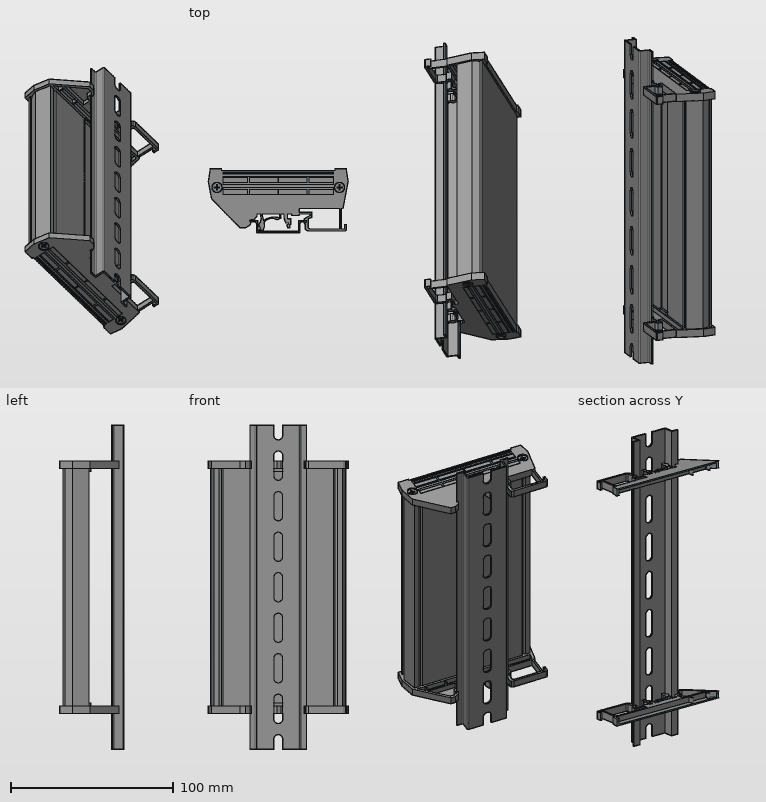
import cadquery as cq

rail_length = 200.0
rail_width = 35.0
rail_channel_width = 27.0
rail_height = 7.5
rail_wall = 1.0
rail_bend = 0.8
rail_slot_width = 5.5
rail_slot_length = 18.0
rail_slot_pitch = 25.0
flange_half = rail_width / 2
flange_under_y = rail_height - rail_wall

plate_outer_z = 78.0
plate_thickness = 4.8
plate_inner_z = plate_outer_z - plate_thickness

base_bottom_y = 21.5
base_wide_y = 31.5
base_top_y = 36.5
base_bottom_half = 39.5
base_wide_half = 41.8
base_top_half = 39.5
vee_outer_x = 36.5
vee_root_x = 35.0
vee_inner_x = 34.2
vee_depth = 0.8
key_half = 5.8
keyway_depth = 0.5

cover_half = 40.5
cover_thickness = 1.2
cover_top_y = base_top_y + cover_thickness

plate_top_y = 39.5
plate_saddle_y = 38.5
ear_inner_x = 35.0
plate_wide_half = 43.2
plate_top_half = 42.0
plate_belly_y = 11.5
plate_step_y = 15.0
foot_bottom_y = 3.0
spring_bottom_y = 1.0
spring_floor_y = 2.5
arm_top_y = 12.8
strut_left_x = 37.8
strut_right_x = 39.0
floor_thickness = 1.2
key_height = 1.8
key_bottom_y = 20.5
rib_thickness = 0.8
rib_lefts = (-33.2, -19.8)

panel_half = 34.0
panel_bottom_y = 23.8
panel_top_y = cover_top_y
panel_depth = 0.1
cell_depth = 0.1
cell_rows = [(panel_bottom_y, 26.5), (31.0, 34.0)]
ridge_bands = [(28.0, 29.8), (34.8, 36.2), (36.8, 37.2)]
bar_width = 1.2
bar_center_width = 0.5
bar_x = 18.5

screw_x = 37.8
screw_y = 28.0
screw_head_radius = 3.0
screw_head_depth = 2.0
screw_recess = 0.8
counterbore_radius = 3.2
screw_shank_radius = 1.5
screw_length = 10.0
cross_length = 3.5
cross_width = 0.8
cross_depth = 1.0


def mirrored_outline(right_half):
    """Closed outline from its right half, listed from the bottom centre to the top centre."""
    left_half = [(-x, y) for x, y in reversed(right_half)]
    return right_half + left_half


def block(x0, x1, y0, y1, z0, z1):
    return cq.Workplane("XY").box(x1 - x0, y1 - y0, z1 - z0, centered=False).translate((x0, y0, z0))


def prism(points, z0, z1):
    return cq.Workplane("XY").workplane(offset=z0).polyline(points).close().extrude(z1 - z0)


def make_rail():
    channel_half = rail_channel_width / 2
    right_half = [
        (channel_half, 0),
        (channel_half, flange_under_y),
        (flange_half, flange_under_y),
        (flange_half, rail_height),
        (channel_half - rail_wall, rail_height),
        (channel_half - rail_wall, rail_wall),
    ]
    end_z = rail_length / 2
    rail = prism(mirrored_outline(right_half), -end_z, end_z)
    for side in (-1, 1):
        for bend_y in (0, flange_under_y):
            corner = (side * channel_half, bend_y, 0)
            rail = rail.edges(cq.selectors.NearestToPointSelector(corner)).fillet(rail_bend)
    slot_count = int(rail_length / rail_slot_pitch) + 1
    slots = (
        cq.Workplane("XZ")
        .rarray(2, rail_slot_pitch, 1, slot_count)
        .slot2D(rail_slot_length, rail_slot_width, 90)
        .extrude(-rail_wall)
    )
    return rail.cut(slots)


def make_base():
    keyway_y = base_bottom_y + keyway_depth
    right_half = [
        (key_half, keyway_y),
        (key_half, base_bottom_y),
        (vee_inner_x, base_bottom_y),
        (vee_root_x, base_bottom_y + vee_depth),
        (vee_outer_x, base_bottom_y),
        (base_bottom_half, base_bottom_y),
        (base_wide_half, base_wide_y),
        (base_top_half, base_top_y),
    ]
    return prism(mirrored_outline(right_half), -plate_inner_z, plate_inner_z)


def make_cover():
    return block(-cover_half, cover_half, base_top_y, cover_top_y, -plate_inner_z, plate_inner_z)


def plate_body():
    """Main plate with the rail foot on the left and the spring arm and its strut on the right."""
    outline = [
        (-plate_top_half, plate_top_y),
        (-plate_wide_half, base_wide_y),
        (-41.2, 21.0),
        (-23.5, foot_bottom_y),
        (-20.2, foot_bottom_y),
        (-17.5, 4.8),
        (-16.5, flange_under_y),
        (-flange_half, flange_under_y),
        (-flange_half, 7.8),
        (-14.8, 8.2),
        (-13.0, 10.5),
        (-13.0, plate_belly_y),
        (8.2, plate_belly_y),
        (8.2, 10.5),
        (12.8, 10.5),
        (13.2, plate_belly_y),
        (19.5, plate_belly_y),
        (19.5, 10.8),
        (16.0, 8.5),
        (16.0, rail_height),
        (flange_half, rail_height),
        (flange_half, flange_under_y),
        (16.0, 6.0),
        (16.5, 5.0),
        (16.5, spring_floor_y),
        (17.2, 1.5),
        (18.8, spring_bottom_y),
        (40.5, spring_bottom_y),
        (41.5, 1.2),
        (42.0, 1.8),
        (42.0, 5.2),
        (40.8, 5.2),
        (40.8, spring_floor_y),
        (strut_right_x, spring_floor_y),
        (strut_right_x, plate_step_y),
        (40.0, plate_step_y),
        (plate_wide_half, base_wide_y),
        (plate_top_half, plate_top_y),
        (ear_inner_x, plate_top_y),
        (ear_inner_x, plate_saddle_y),
        (-ear_inner_x, plate_saddle_y),
        (-ear_inner_x, plate_top_y),
    ]
    opening = [
        (13.0, plate_step_y),
        (13.0, arm_top_y),
        (20.8, arm_top_y),
        (20.8, 9.5),
        (18.5, 8.5),
        (18.5, 3.2),
        (19.5, spring_floor_y),
        (strut_left_x, spring_floor_y),
        (strut_left_x, plate_step_y),
    ]
    body = prism(outline, plate_inner_z, plate_outer_z)
    return body.cut(prism(opening, plate_inner_z, plate_outer_z))


def spring_clip():
    """Left finger, arched spring with its post, and right finger, all inside the rail channel."""
    left_finger = [
        (-11.0, plate_belly_y),
        (-10.0, plate_belly_y),
        (-9.0, 7.8),
        (-8.5, 5.0),
        (-8.5, 4.0),
        (-9.2, 1.5),
        (-11.8, 1.5),
        (-11.0, 2.8),
        (-12.2, 4.8),
        (-11.2, 6.5),
        (-10.5, 8.5),
    ]
    right_finger = [
        (3.5, plate_belly_y),
        (3.5, 9.5),
        (4.5, 6.0),
        (6.2, 6.0),
        (6.2, 5.5),
        (5.2, 4.8),
        (5.8, 3.0),
        (7.2, 3.0),
        (7.2, 5.0),
        (7.8, 5.0),
        (7.8, 8.8),
        (5.8, 8.8),
        (5.8, plate_belly_y),
    ]
    arch = (
        cq.Workplane("XY")
        .workplane(offset=plate_inner_z)
        .moveTo(-9.2, 7.5)
        .threePointArc((-3.0, 9.8), (0.8, 9.5))
        .lineTo(0.8, plate_belly_y)
        .lineTo(1.8, plate_belly_y)
        .lineTo(1.8, 9.0)
        .lineTo(-0.8, 8.0)
        .threePointArc((-3.0, 8.8), (-8.8, 6.5))
        .close()
        .extrude(plate_thickness)
    )
    clip = prism(left_finger, plate_inner_z, plate_outer_z).union(arch)
    return clip.union(prism(right_finger, plate_inner_z, plate_outer_z))


def inner_pockets():
    """Pockets open toward the base: a long one below it and one in the rail foot."""
    floor_z = plate_outer_z - floor_thickness
    long_pocket = [(-38.2, 20.0), (-34.5, 16.5), (38.5, 16.5), (39.0, 20.0)]
    foot_pocket = [
        (-33.5, plate_step_y),
        (-23.0, 4.8),
        (-20.5, 4.8),
        (-18.5, 6.0),
        (-18.5, 9.5),
        (-14.8, 10.5),
        (-14.8, plate_step_y),
    ]
    pockets = prism(long_pocket, plate_inner_z, floor_z)
    for x in rib_lefts:
        rib = block(x, x + rib_thickness, plate_step_y, base_bottom_y, plate_inner_z, floor_z)
        pockets = pockets.cut(rib)
    return pockets.union(prism(foot_pocket, plate_inner_z, floor_z))


def panel_relief():
    """Material removed for the panel: a shallow field with two rows of four deeper cells."""
    field_z = plate_outer_z - panel_depth
    cell_z = field_z - cell_depth
    relief = block(-panel_half, panel_half, panel_bottom_y, panel_top_y, field_z, plate_outer_z)
    for y0, y1 in ridge_bands:
        relief = relief.cut(block(-panel_half, panel_half, y0, y1, field_z, plate_outer_z))
    inner_edge = bar_x - bar_width / 2
    outer_edge = bar_x + bar_width / 2
    cell_spans = [(bar_center_width / 2, inner_edge), (outer_edge, panel_half)]
    for y0, y1 in cell_rows:
        for x0, x1 in cell_spans:
            for left, right in [(x0, x1), (-x1, -x0)]:
                relief = relief.union(block(left, right, y0, y1, cell_z, plate_outer_z))
    return relief


def make_end_plate():
    plate = plate_body().union(spring_clip())
    plate = plate.cut(inner_pockets()).cut(panel_relief())
    key = block(
        -key_half, key_half, key_bottom_y, base_bottom_y + keyway_depth,
        plate_inner_z - key_height, plate_inner_z,
    )
    plate = plate.union(key)
    for side in (-1, 1):
        plate = plate.cut(screw_hole(side * screw_x))
    return plate


def cylinder(x, radius, z_bottom, z_top):
    return (
        cq.Workplane("XY")
        .workplane(offset=z_bottom)
        .center(x, screw_y)
        .circle(radius)
        .extrude(z_top - z_bottom)
    )


head_top_z = plate_outer_z - screw_recess
head_seat_z = head_top_z - screw_head_depth
screw_tip_z = plate_outer_z - screw_length


def screw_hole(x):
    counterbore = cylinder(x, counterbore_radius, head_seat_z, plate_outer_z)
    return counterbore.union(cylinder(x, screw_shank_radius, screw_tip_z, head_seat_z))


def make_screw(x):
    screw = cylinder(x, screw_head_radius, head_seat_z, head_top_z)
    screw = screw.union(cylinder(x, screw_shank_radius, screw_tip_z, head_seat_z))
    for length, width in [(cross_length, cross_width), (cross_width, cross_length)]:
        arm = cq.Workplane("XY").box(length, width, 2 * cross_depth)
        screw = screw.cut(arm.translate((x, screw_y, head_top_z)))
    return screw


def at_end(body, end):
    """The body at the top end (+1), or its mirror image at the bottom end (-1)."""
    return body if end > 0 else body.mirror("XY")


rail = make_rail()
base = make_base()
cover = make_cover()
end_plates = []
screws = []
for end in (1, -1):
    end_plates.append(at_end(make_end_plate(), end))
    for side in (-1, 1):
        screws.append(at_end(make_screw(side * screw_x), end))
        base = base.cut(at_end(screw_hole(side * screw_x), end))

bodies = [rail, base, cover, *end_plates, *screws]
result = cq.Compound.makeCompound([body.val() for body in bodies])